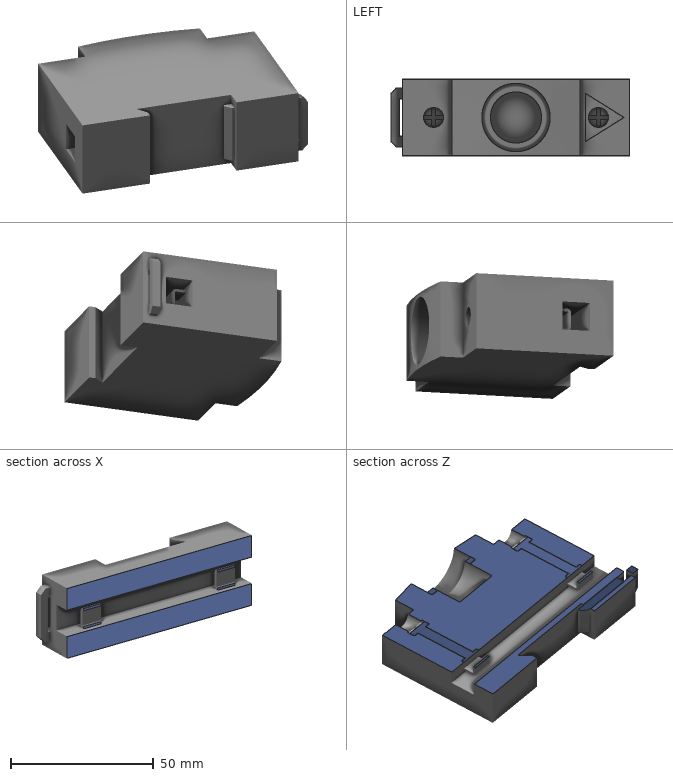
import cadquery as cq


housing_length = 80.0
housing_width = 27.0
body_depth = 50.1
cover_length = 45.0
cover_edge_depth = 58.2
cover_peak_depth = 60.0

rail_recess_depth = 6.1
rail_top_wall = 23.0
rail_bottom_lip = 24.95
lip_bevel_depth = 3.8
lip_bevel_length = 3.0

opening_diameter = 24.0
ring_inner_diameter = 18.0
ring_thickness = 2.0
inner_bore_depth = 10.1

terminal_offset = 29.0
access_diameter = 7.0
head_diameter = 8.0
head_recess = 5.9
head_height = 3.0
head_fillet = 1.0
drive_slot_width = 1.4
drive_slot_depth = 1.0
shank_diameter = 4.0
cage_width = 8.0
cage_length = 8.0
cage_wall = 1.0
cage_outer_radius = 1.4
cage_end = 13.5

channel_size = 10.0
channel_start = 8.6

mark_base_offset = 24.45
mark_height = 13.5
mark_base = 17.0
mark_depth = 0.1

clip_width = 20.8
clip_thickness = 3.0
clip_back_gap = 2.0
clip_tail = 4.0
clip_tail_chamfer = 2.0
clip_nose = 3.0
clip_nose_chamfer = 2.0
clip_window_width = 13.1
clip_window_length = 5.0
clip_window_margin = 3.0

half_length = housing_length / 2
half_cover = cover_length / 2
ring_seat_x = -body_depth
head_top_x = -body_depth + head_recess
head_seat_x = head_top_x + head_height
channel_front_x = -(channel_start + channel_size)
cage_plate_x = channel_front_x - cage_wall
clip_back_x = -clip_back_gap
clip_front_x = clip_back_x - clip_thickness
rail_top_y = half_length - rail_top_wall
rail_bottom_y = -half_length + rail_bottom_lip
clip_tip_y = half_length + clip_tail
clip_nose_y = rail_top_y - clip_nose
terminal_places = [terminal_offset, -terminal_offset]


def cylinder_x(diameter, x_start, x_end, y=0.0):
    """Cylinder along X between two X positions, on the mid height."""
    return (
        cq.Workplane("YZ", origin=(x_start, y, 0))
        .circle(diameter / 2)
        .extrude(x_end - x_start)
    )


def block(x_start, x_end, y_start, y_end, height):
    """Rectangular block, centred on Z = 0."""
    return (
        cq.Workplane("XY", origin=((x_start + x_end) / 2, (y_start + y_end) / 2, 0))
        .box(x_end - x_start, y_end - y_start, height)
    )


def housing_blank():
    """Side profile with the bowed cover and the rail recess."""
    return (
        cq.Workplane("XY", origin=(0, 0, -housing_width / 2))
        .moveTo(0, half_length)
        .lineTo(-body_depth, half_length)
        .lineTo(-body_depth, half_cover)
        .lineTo(-cover_edge_depth, half_cover)
        .threePointArc((-cover_peak_depth, 0), (-cover_edge_depth, -half_cover))
        .lineTo(-body_depth, -half_cover)
        .lineTo(-body_depth, -half_length)
        .lineTo(0, -half_length)
        .lineTo(0, rail_bottom_y)
        .lineTo(-rail_recess_depth + lip_bevel_depth, rail_bottom_y)
        .lineTo(-rail_recess_depth, rail_bottom_y - lip_bevel_length)
        .lineTo(-rail_recess_depth, rail_top_y)
        .lineTo(0, rail_top_y)
        .close()
        .extrude(housing_width)
    )


def triangle_mark():
    """Shallow triangle pointing to -Y, cut below the front of the housing."""
    return (
        cq.Workplane("YZ", origin=(-body_depth, 0, 0))
        .moveTo(-mark_base_offset, mark_base / 2)
        .lineTo(-mark_base_offset - mark_height, 0)
        .lineTo(-mark_base_offset, -mark_base / 2)
        .close()
        .extrude(mark_depth)
    )


def terminal_pocket(y):
    """Access hole, captive head chamber, shank hole and recess for the cage plate."""
    access_hole = cylinder_x(access_diameter, -body_depth, head_top_x, y)
    head_hole = cylinder_x(head_diameter, head_top_x, head_seat_x, y)
    shank_hole = cylinder_x(shank_diameter, head_seat_x, cage_plate_x, y)
    plate_recess = block(
        cage_plate_x, channel_front_x, y - cage_length / 2, y + cage_length / 2, cage_width
    )
    return access_hole.union(head_hole).union(shank_hole).union(plate_recess)


def clip_blank():
    """Solid clip strip: chamfered tail corners and a bevelled nose."""
    strip = block(
        clip_front_x, clip_back_x, clip_nose_y, clip_tip_y, clip_width
    )
    return (
        strip
        .faces(">Y").edges("|X").chamfer(clip_tail_chamfer)
        .faces("<Y").edges(">X").chamfer(clip_nose_chamfer)
    )


def make_housing():
    opening = cylinder_x(opening_diameter, -cover_peak_depth, ring_seat_x)
    inner_bore = cylinder_x(ring_inner_diameter, ring_seat_x, ring_seat_x + inner_bore_depth)
    channel = block(
        channel_front_x, -channel_start, -half_length, half_length, channel_size
    )
    clip_slot = block(
        clip_front_x, clip_back_x, rail_top_y, half_length, clip_width
    )
    housing = housing_blank().cut(opening).cut(inner_bore).cut(channel).cut(clip_slot)
    for y in terminal_places:
        housing = housing.cut(terminal_pocket(y))
    return housing.cut(triangle_mark())


def make_ring():
    return (
        cq.Workplane("YZ", origin=(ring_seat_x - ring_thickness, 0, 0))
        .circle(opening_diameter / 2)
        .circle(ring_inner_diameter / 2)
        .extrude(ring_thickness)
    )


def make_clip():
    window_end_y = clip_tip_y - clip_window_margin
    window = block(
        clip_front_x, clip_back_x, window_end_y - clip_window_length, window_end_y, clip_window_width,
    )
    return clip_blank().cut(window)


def screw(y):
    """Round-edged head with a cross slot, on a plain shank."""
    head = (
        cylinder_x(head_diameter, head_top_x, head_seat_x, y)
        .faces("<X").edges().fillet(head_fillet)
    )
    slot_floor_x = head_top_x + drive_slot_depth
    head_radius = head_diameter / 2
    long_slot = block(head_top_x, slot_floor_x, y - head_radius, y + head_radius, drive_slot_width)
    short_slot = block(
        head_top_x, slot_floor_x, y - drive_slot_width / 2, y + drive_slot_width / 2,
        head_diameter - 2 * head_fillet,
    )
    shank = cylinder_x(shank_diameter, head_seat_x, cage_plate_x, y)
    return head.cut(long_slot).cut(short_slot).union(shank)


def cage(y):
    """Rectangular wire cage, open along Y, rounded at its closed end."""
    y_start = y - cage_length / 2
    y_end = y + cage_length / 2
    outer = (
        block(cage_plate_x, -cage_end, y_start, y_end, cage_width)
        .faces(">X").edges("|Y").fillet(cage_outer_radius)
    )
    inner = (
        block(
            channel_front_x, -cage_end - cage_wall, y_start, y_end, cage_width - 2 * cage_wall
        )
        .faces(">X").edges("|Y").fillet(cage_outer_radius - cage_wall)
    )
    return outer.cut(inner)


def make_terminal(y):
    return screw(y).union(cage(y))


housing = make_housing()
ring = make_ring()
clip = make_clip()
terminals = [make_terminal(y) for y in terminal_places]

bodies = [housing, ring, clip] + terminals
result = cq.Compound.makeCompound([body.solids().val() for body in bodies])